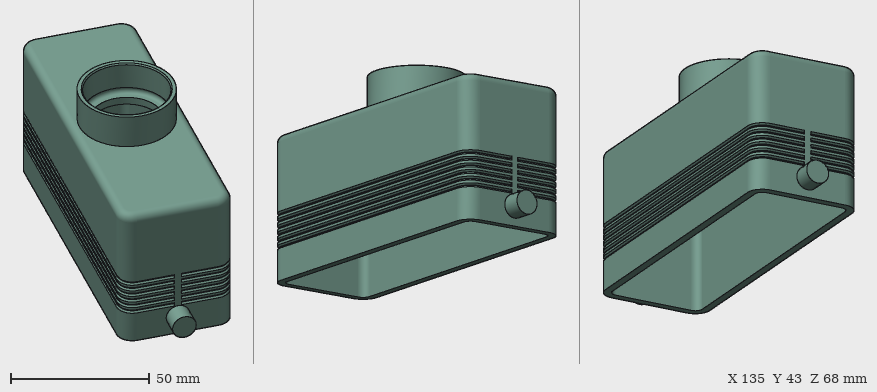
import cadquery as cq
import math

BODY_LENGTH = 120.0
BODY_WIDTH = 43.0
BODY_HEIGHT = 55.0
CORNER_RADIUS = 6.0
TOP_FILLET = 3.0
WALL = 3.0

TOTAL_HEIGHT = 68.0
COLLAR_RADIUS = 18.0
BORE_RADIUS = 16.0
BORE_CHAMFER = 0.5
RELIEF_RADIUS = 1.5
RELIEF_CENTRE = 14.85

ENTRY_RADIUS = 13.3

PIN_SPAN = 135.0
PIN_DIAMETER = 9.0
PIN_HEIGHT = 7.5

GROOVE_COUNT = 6
GROOVE_HEIGHT = 1.45
GROOVE_DEPTH = 0.65
GROOVE_PITCH = 2.47
LOWEST_GROOVE_BOTTOM = 12.15

STRIP_WIDTH = 2.7


def make_body():
    """Solid block with rounded vertical corners and a rounded top rim."""
    block = cq.Workplane("XY").box(BODY_LENGTH, BODY_WIDTH, BODY_HEIGHT, centered=(True, True, False))
    return block.edges("|Z").fillet(CORNER_RADIUS).faces(">Z").edges().fillet(TOP_FILLET)


def make_cavity():
    """Inner space of the hood, following the outside at a constant wall thickness."""
    cavity = cq.Workplane("XY").box(
        BODY_LENGTH - 2 * WALL,
        BODY_WIDTH - 2 * WALL,
        BODY_HEIGHT - WALL,
        centered=(True, True, False),
    )
    return cavity.edges("|Z").fillet(CORNER_RADIUS - WALL)


def rounded_outline(inset):
    """Horizontal outline of the body, pulled inwards by an inset."""
    outline = cq.Sketch().rect(BODY_LENGTH - 2 * inset, BODY_WIDTH - 2 * inset)
    return outline.vertices().fillet(CORNER_RADIUS - inset)


def make_groove(bottom_z):
    """Material removed by one groove, leaving the plain strip on both end faces."""
    rim = rounded_outline(0)
    root = rounded_outline(GROOVE_DEPTH)
    flank_rise = cq.Location(cq.Vector(0, 0, GROOVE_DEPTH))
    lower_core = cq.Workplane("XY").placeSketch(rim, root.moved(flank_rise)).loft()
    upper_core = lower_core.mirror("XY", (0, 0, GROOVE_HEIGHT / 2))
    root_core = cq.Workplane("XY").placeSketch(root).extrude(GROOVE_HEIGHT)
    core = root_core.union(lower_core).union(upper_core)
    strip = cq.Workplane("XY").box(BODY_LENGTH, STRIP_WIDTH, GROOVE_HEIGHT, centered=(True, True, False))
    slab = cq.Workplane("XY").placeSketch(rim).extrude(GROOVE_HEIGHT)
    return slab.cut(core).cut(strip).translate((0, 0, bottom_z))


def make_collar():
    """Round collar on the roof."""
    return (
        cq.Workplane("XY")
        .workplane(offset=BODY_HEIGHT - WALL)
        .circle(COLLAR_RADIUS)
        .extrude(TOTAL_HEIGHT - BODY_HEIGHT + WALL)
    )


def make_entry():
    """Revolved passage: chamfered bore, round relief undercut at its floor, hole through the roof."""
    relief_rise = math.sqrt(RELIEF_RADIUS**2 - (BORE_RADIUS - RELIEF_CENTRE) ** 2)
    relief_top = BODY_HEIGHT + RELIEF_RADIUS + relief_rise
    relief_middle = (RELIEF_CENTRE + RELIEF_RADIUS, BODY_HEIGHT + RELIEF_RADIUS)
    return (
        cq.Workplane("XZ")
        .lineTo(ENTRY_RADIUS, 0)
        .lineTo(ENTRY_RADIUS, BODY_HEIGHT)
        .lineTo(RELIEF_CENTRE, BODY_HEIGHT)
        .threePointArc(relief_middle, (BORE_RADIUS, relief_top))
        .lineTo(BORE_RADIUS, TOTAL_HEIGHT - BORE_CHAMFER)
        .lineTo(BORE_RADIUS + BORE_CHAMFER, TOTAL_HEIGHT)
        .lineTo(0, TOTAL_HEIGHT)
        .close()
        .revolve(360, (0, 0, 0), (0, 1, 0))
    )


def make_pins():
    """Round pins standing out of both end faces."""
    pin_length = (PIN_SPAN - BODY_LENGTH) / 2 + WALL
    pin = (
        cq.Workplane("YZ")
        .workplane(offset=PIN_SPAN / 2 - pin_length)
        .center(0, PIN_HEIGHT)
        .circle(PIN_DIAMETER / 2)
        .extrude(pin_length)
    )
    return pin.union(pin.mirror("YZ"))


hood = make_body()
for groove_index in range(GROOVE_COUNT):
    hood = hood.cut(make_groove(LOWEST_GROOVE_BOTTOM + groove_index * GROOVE_PITCH))
hood = hood.cut(make_cavity())
result = hood.union(make_collar()).cut(make_entry()).union(make_pins())